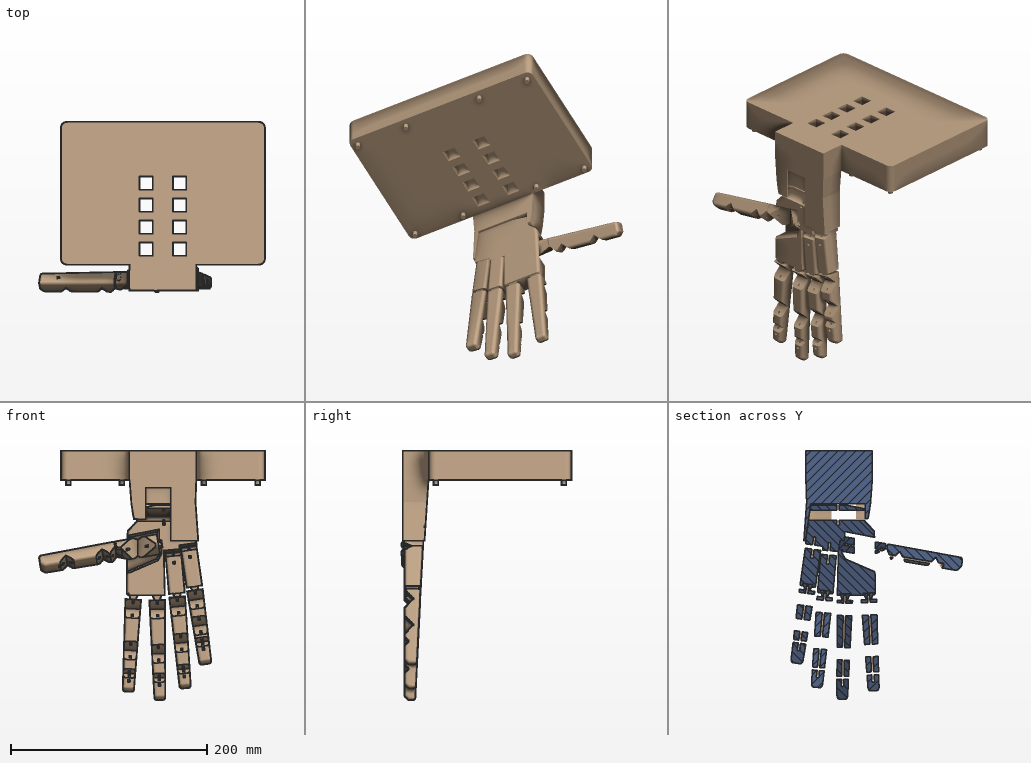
import cadquery as cq


PLATE_WIDTH = 208.0
PLATE_FRONT = 24.7
PLATE_BACK = 170.5
PLATE_THICKNESS = 30.0
PLATE_CORNER_RADIUS = 6.4
VENT_SIZE = 13.2
VENT_COLUMN_X = 17.0
VENT_FIRST_Y = 40.7
VENT_PITCH = 22.5
VENT_ROWS = 4
PEG_DIAMETER = 5.0
PEG_LENGTH = 5.0
PEG_INNER_X = 41.7
PEG_OUTER_X = 96.5
PEG_ROWS_Y = (32.0, 162.5)

TOWER_HALF_WIDTH = 34.0
COVER_THICKNESS = 1.8
TOWER_BOTTOM = -92.0
TOWER_BOTTOM_RIGHT = 36.0
TOWER_BOTTOM_BACK = 20.5
TOWER_WAIST = (33.3, -52.7)
LEFT_LEG_BOTTOM = -70.0
LEFT_LEG_BEND = [(-29.5, LEFT_LEG_BOTTOM), (-30.3, -66.5), (-31.0, -62.3), (-31.5, -58.5), (-32.3, -53.7)]
WINDOW_LEFT = -17.3
WINDOW_RIGHT = 8.0
WINDOW_TOP = -38.0
CAVITY_TOP = -54.7

HAND_BACK_AT_TOP = 24.5
HAND_TAPER = 0.054
EDGE_RADIUS = 3.0
REACH = 38.2

PALM_BOTTOM = -147.5
PALM_TOP = -55.7
PALM_LEFT_SIDE = [(-37.1, PALM_BOTTOM), (-36.5, -87.8), (-35.9, -82.0)]
WRIST_LEFT = -26.5
PALM_RIGHT_TOP = (28.7, CAVITY_TOP)
PALM_RIGHT_BOTTOM = (34.5, -97.0)
WRIST_NOTCH_TOP = -59.0
WRIST_NOTCH_APEX = -67.7
WRIST_NOTCH_BOTTOM = -72.0
WRIST_NOTCH_DEPTH = 13.7
WRIST_EXIT = (1.0, -74.8)
RECESS_DEPTH = 15.8
RECESS_RIM_BEVEL = 2.0

RAY_GAP = 3.5
RING_HINGE = 45.0
PINKY_HINGE = 44.3
RAY_OVERLAP = 3.3
RAY_NOTCH_HALF = 3.3
RAY_NOTCH_DEPTH = 8.1
RAY_NOTCH_SIDE_ROOM = 1.3
RAY_TENDON_REACH = 10.2

DIGIT_WIDTH = 16.3
FINGER_TAPER = 0.05
TIP_BEVEL = 4.0
JOINT_HALF = 9.5
TIP_JOINT_HALF = 4.5
THUMB_JOINT_HALF = 7.0
NECK_ROOT_WIDTH = 5.5
NECK_PLUG_WIDTH = 10.2
NECK_FRONT = 1.3
NECK_BACK = 15.0
NECK_LENGTH = 6.0
TENDON_DIAMETER = 2.0
TENDON_EXIT_DIAMETER = 2.5
TENDON_DEPTH = 3.0
TENDON_BEYOND_JOINT = 7.6

INDEX = (-30.3, -151.5, 3.1, 94.5, (9.7, 52.1, 75.5))
MIDDLE = (-5.9, -152.5, -1.5, 102.0, (9.5, 54.7, 79.0))
RING = (14.5, -149.0, -5.1, 93.5, (10.0, 47.0, 73.8))
PINKY = (32.5, -142.2, -8.2, 76.3, (9.7, 36.5, 53.2))

THUMB_ROOT = (-48.0, 7.0, -102.8)
THUMB_LEAN = 80.5
THUMB_ROLL = 48.0
THUMB_LENGTH = 78.4
THUMB_TAPER = 0.02
ROOT_NOTCH_BASE_SPAN = 15.3
ROOT_NOTCH_THUMB_SPAN = 6.0
ROOT_NOTCH_DEPTH = 7.6
THUMB_JOINTS = (13.5, 51.0)
BASE_GAP = 1.3
BASE_LENGTH = 42.7
BASE_PLUG_LENGTH = 3.8
BASE_NOTCH_LEFT = -47.3
BASE_NOTCH_APEX = (-25.5, 10.7)
BASE_NOTCH_RIGHT = -6.5
BASE_NOTCH_FRONT = -3.5
BASE_TENDON_OFFSET = -3.0


def prism_along_y(points, y_start, y_end):
    """Extrude an outline given as (X, Z) points from y_start to y_end."""
    plane = cq.Workplane("XZ", origin=(0, y_start, 0))
    return plane.polyline(points).close().extrude(y_start - y_end)


def prism_along_x(points, half_width):
    """Extrude an outline given as (Y, Z) points equally to both sides of X = 0."""
    return cq.Workplane("YZ").polyline(points).close().extrude(half_width, both=True)


def box(x_range, y_range, z_range):
    """Box that fills the given (low, high) ranges."""
    low, high = zip(x_range, y_range, z_range)
    size = [end - start for start, end in zip(low, high)]
    return cq.Workplane("XY").box(*size, centered=False).translate(low)


def tendon(exit_z, end_z):
    """Channel along Z behind the palm-side face, opening through that face at exit_z."""
    low, high = sorted((exit_z, end_z))
    channel = (
        cq.Workplane("XY", origin=(0, TENDON_DEPTH, low))
        .circle(TENDON_DIAMETER / 2)
        .extrude(high - low)
    )
    outlet = (
        cq.Workplane("XZ", origin=(0, 0, exit_z))
        .circle(TENDON_EXIT_DIAMETER / 2)
        .extrude(-TENDON_DEPTH - TENDON_DIAMETER / 2)
    )
    return channel.union(outlet)


def hinge_notch(top, apex, bottom, depth, half_width=REACH):
    """V-notch across the palm-side face that leaves a hinge at the back; top, apex and bottom are Z."""
    return prism_along_x([(0, top), (depth, apex), (0, bottom)], half_width)


def digit(length, joints, taper):
    """One finger or thumb; joints are (distance from the root, half span) pairs."""
    tip_width = DIGIT_WIDTH - taper * length
    tip_bevel = prism_along_x([(0, TIP_BEVEL - length), (TIP_BEVEL, -length), (0, -length)], REACH)
    body = (
        cq.Workplane("XY")
        .center(0, DIGIT_WIDTH / 2)
        .rect(DIGIT_WIDTH, DIGIT_WIDTH)
        .workplane(offset=-length)
        .center(0, (tip_width - DIGIT_WIDTH) / 2)
        .rect(tip_width, tip_width)
        .loft(ruled=True)
        .cut(tip_bevel)
        .edges("not >Z")
        .fillet(EDGE_RADIUS)
    )
    half_root = NECK_ROOT_WIDTH / 2
    half_plug = NECK_PLUG_WIDTH / 2
    neck_outline = [
        (-half_root, -EDGE_RADIUS),
        (half_root, -EDGE_RADIUS),
        (half_root, 0),
        (half_plug, NECK_LENGTH),
        (-half_plug, NECK_LENGTH),
        (-half_root, 0),
    ]
    body = body.union(prism_along_y(neck_outline, NECK_FRONT, NECK_BACK))
    for distance, half_span in joints:
        body = body.cut(hinge_notch(half_span - distance, -distance, -half_span - distance, half_span))
    last_joint = joints[-1][0]
    return body.cut(tendon(-last_joint - TENDON_BEYOND_JOINT, NECK_LENGTH))


def place_finger(shape, finger):
    root_x, root_z, lean = finger[:3]
    return shape.rotate((0, 0, 0), (0, 1, 0), lean).translate((root_x, 0, root_z))


def make_finger(finger):
    length, distances = finger[3:]
    joints = list(zip(distances, (JOINT_HALF, JOINT_HALF, TIP_JOINT_HALF)))
    return place_finger(digit(length, joints, FINGER_TAPER), finger)


def place_thumb(shape):
    """Centre the root section on the thumb axis, roll it, lay it to the left and move it to the root."""
    centred = shape.translate((0, -DIGIT_WIDTH / 2, 0))
    rolled = centred.rotate((0, 0, 0), (0, 0, 1), THUMB_ROLL)
    return rolled.rotate((0, 0, 0), (0, 1, 0), THUMB_LEAN).translate(THUMB_ROOT)


def thumb_root_notch():
    """V-notch shared by the thumb and its base."""
    return hinge_notch(ROOT_NOTCH_BASE_SPAN, 0, -ROOT_NOTCH_THUMB_SPAN, ROOT_NOTCH_DEPTH)


def make_thumb():
    joints = [(distance, THUMB_JOINT_HALF) for distance in THUMB_JOINTS]
    back_outlet = (
        cq.Workplane("XZ", origin=(0, TENDON_DEPTH, -THUMB_JOINTS[-1] - TENDON_BEYOND_JOINT))
        .circle(TENDON_EXIT_DIAMETER / 2)
        .extrude(-DIGIT_WIDTH)
    )
    thumb = digit(THUMB_LENGTH, joints, THUMB_TAPER).cut(back_outlet).cut(thumb_root_notch())
    return place_thumb(thumb)


def make_thumb_base(thumb):
    """Rod in line with the thumb, with a hinge notch open to the front and a plug into the palm."""
    rod_end = BASE_GAP + BASE_LENGTH
    half_width = DIGIT_WIDTH / 2
    half_plug = NECK_PLUG_WIDTH / 2
    rod = box((-half_width, half_width), (0, DIGIT_WIDTH), (BASE_GAP, rod_end))
    rod = rod.edges("|Z").fillet(EDGE_RADIUS)
    plug = box((-half_plug, half_plug), (NECK_FRONT, NECK_BACK), (rod_end, rod_end + BASE_PLUG_LENGTH))
    base = place_thumb(rod.union(plug).cut(thumb_root_notch()))
    notch_points = [
        (BASE_NOTCH_LEFT, BASE_NOTCH_FRONT),
        BASE_NOTCH_APEX,
        (BASE_NOTCH_RIGHT, BASE_NOTCH_FRONT),
    ]
    notch = cq.Workplane("XY").polyline(notch_points).close().extrude(2 * THUMB_ROOT[2])
    channel = cq.Workplane("XY").center(0, half_width).circle(TENDON_DIAMETER / 2).extrude(rod_end)
    channel = place_thumb(channel).translate((0, BASE_TENDON_OFFSET, 0))
    return base.cut(notch).cut(channel).cut(thumb)


def hand_back(z):
    """Y of the back of the hand at height z."""
    return HAND_BACK_AT_TOP + HAND_TAPER * z


def palm_plate():
    """Palm and wrist block without pocket, rays or notches."""
    outline = [
        *PALM_LEFT_SIDE,
        (WRIST_LEFT, WRIST_NOTCH_BOTTOM),
        (WRIST_LEFT, -59.3),
        (-9.2, PALM_TOP),
        (PALM_RIGHT_TOP[0], PALM_TOP),
        PALM_RIGHT_BOTTOM,
        (18.0, -99.5),
        (18.0, -102.8),
        (1.0, -104.3),
        (2.0, PALM_BOTTOM),
    ]
    profile = [(0, 0), (hand_back(0), 0), (hand_back(PALM_BOTTOM), PALM_BOTTOM), (0, PALM_BOTTOM)]
    slab = prism_along_x(profile, REACH)
    plate = prism_along_y(outline, 0, REACH).intersect(slab)
    (low_x, low_z), _, (high_x, high_z) = PALM_LEFT_SIDE
    left_side = cq.selectors.BoxSelector((low_x, -EDGE_RADIUS, low_z), (high_x, REACH, high_z))
    return plate.edges(left_side).fillet(EDGE_RADIUS)


def metacarpal(finger, hinge):
    """Ray that carries a finger; its root merges into the palm at the hinge."""
    half_width = DIGIT_WIDTH / 2
    top = hinge + RAY_OVERLAP
    back_low = DIGIT_WIDTH + HAND_TAPER * RAY_GAP
    back_high = DIGIT_WIDTH + HAND_TAPER * top
    side = [(0, RAY_GAP), (back_low, RAY_GAP), (back_high, top), (0, top)]
    ray = prism_along_x(side, half_width).edges("not(>Z or <Z or |X)").fillet(EDGE_RADIUS)
    return place_finger(ray, finger)


def metacarpal_cuts(finger, hinge):
    """Hinge notch across the root of a ray and the tendon channel that runs through it."""
    half_width = DIGIT_WIDTH / 2 + RAY_NOTCH_SIDE_ROOM
    notch = hinge_notch(hinge + RAY_NOTCH_HALF, hinge, hinge - RAY_NOTCH_HALF, RAY_NOTCH_DEPTH, half_width)
    channel = tendon(hinge - RAY_TENDON_REACH, hinge + RAY_TENDON_REACH)
    return place_finger(notch.union(channel), finger)


def wrist_cuts():
    """Hinge notch across the wrist and the tendon channel that runs through it."""
    notch = hinge_notch(WRIST_NOTCH_TOP, WRIST_NOTCH_APEX, WRIST_NOTCH_BOTTOM, WRIST_NOTCH_DEPTH)
    channel = tendon(WRIST_EXIT[1], PALM_TOP).translate((WRIST_EXIT[0], 0, 0))
    return notch.union(channel)


def cut_thumb_recess(palm):
    """Pocket for the thumb base, open to the left, with a bevelled rim."""
    outline = [
        (-40.7, -89.5),
        (-5.9, -82.7),
        (-5.9, -92.0),
        (-3.0, -93.0),
        (-3.0, -104.3),
        (-6.5, -110.5),
        (-40.7, -125.2),
    ]
    rim = (
        cq.Workplane("XZ")
        .polyline(outline)
        .close()
        .offset2D(RECESS_RIM_BEVEL, "intersection")
        .extrude(-RECESS_RIM_BEVEL, taper=45)
    )
    return palm.cut(prism_along_y(outline, 0, RECESS_DEPTH)).cut(rim)


def make_palm(plugged_in):
    """Palm with sockets that match the bodies plugged into it."""
    palm = cut_thumb_recess(palm_plate())
    for finger, hinge in ((RING, RING_HINGE), (PINKY, PINKY_HINGE)):
        palm = palm.union(metacarpal(finger, hinge)).cut(metacarpal_cuts(finger, hinge))
    palm = palm.cut(wrist_cuts())
    for body in plugged_in:
        palm = palm.cut(body)
    return palm


def make_plate():
    """Plate with two columns of square vents and pegs underneath."""
    depth = PLATE_BACK - PLATE_FRONT
    plate = (
        cq.Workplane("XY")
        .center(0, PLATE_FRONT + depth / 2)
        .rect(PLATE_WIDTH, depth)
        .extrude(-PLATE_THICKNESS)
        .edges("|Z")
        .fillet(PLATE_CORNER_RADIUS)
    )
    vent_rows = [VENT_FIRST_Y + row * VENT_PITCH for row in range(VENT_ROWS)]
    vents = [(x, y) for x in (-VENT_COLUMN_X, VENT_COLUMN_X) for y in vent_rows]
    vent_cuts = cq.Workplane("XY").pushPoints(vents).rect(VENT_SIZE, VENT_SIZE).extrude(-PLATE_THICKNESS)
    peg_columns = (-PEG_OUTER_X, -PEG_INNER_X, PEG_INNER_X, PEG_OUTER_X)
    peg_points = [(x, y) for x in peg_columns for y in PEG_ROWS_Y]
    pegs = (
        cq.Workplane("XY", origin=(0, 0, -PLATE_THICKNESS))
        .pushPoints(peg_points)
        .circle(PEG_DIAMETER / 2)
        .extrude(-PEG_LENGTH)
    )
    return plate.cut(vent_cuts).union(pegs)


def make_tower():
    """Two-legged tower: a thin front cover and side walls around the wrist."""
    outline = [
        (-TOWER_HALF_WIDTH, 0),
        (TOWER_HALF_WIDTH, 0),
        (TOWER_HALF_WIDTH, -PLATE_THICKNESS),
        TOWER_WAIST,
        (TOWER_BOTTOM_RIGHT, TOWER_BOTTOM),
        (WINDOW_RIGHT, TOWER_BOTTOM),
        (WINDOW_RIGHT, CAVITY_TOP),
        (WINDOW_LEFT, CAVITY_TOP),
        (WINDOW_LEFT, LEFT_LEG_BOTTOM),
        *LEFT_LEG_BEND,
        (-TOWER_HALF_WIDTH, -PLATE_THICKNESS),
    ]
    profile = [
        (-COVER_THICKNESS, 0),
        (PLATE_FRONT, 0),
        (PLATE_FRONT, -PLATE_THICKNESS),
        (TOWER_BOTTOM_BACK, TOWER_BOTTOM),
        (-COVER_THICKNESS, TOWER_BOTTOM),
    ]
    tower = prism_along_y(outline, -COVER_THICKNESS, PLATE_FRONT).intersect(prism_along_x(profile, REACH))
    window = box((WINDOW_LEFT, WINDOW_RIGHT), (-COVER_THICKNESS, 0), (CAVITY_TOP, WINDOW_TOP))
    cavity_outline = [
        (WRIST_LEFT, CAVITY_TOP),
        PALM_RIGHT_TOP,
        PALM_RIGHT_BOTTOM,
        (WRIST_LEFT, PALM_RIGHT_BOTTOM[1]),
    ]
    return tower.cut(window).cut(prism_along_y(cavity_outline, 0, REACH))


mount = make_plate().union(make_tower())
fingers = [make_finger(finger) for finger in (INDEX, MIDDLE, RING, PINKY)]
thumb = make_thumb()
thumb_base = make_thumb_base(thumb)
palm = make_palm([*fingers, thumb_base])

result = cq.Compound.makeCompound(
    [mount.val(), palm.val(), thumb_base.val(), thumb.val(), *[finger.val() for finger in fingers]]
)